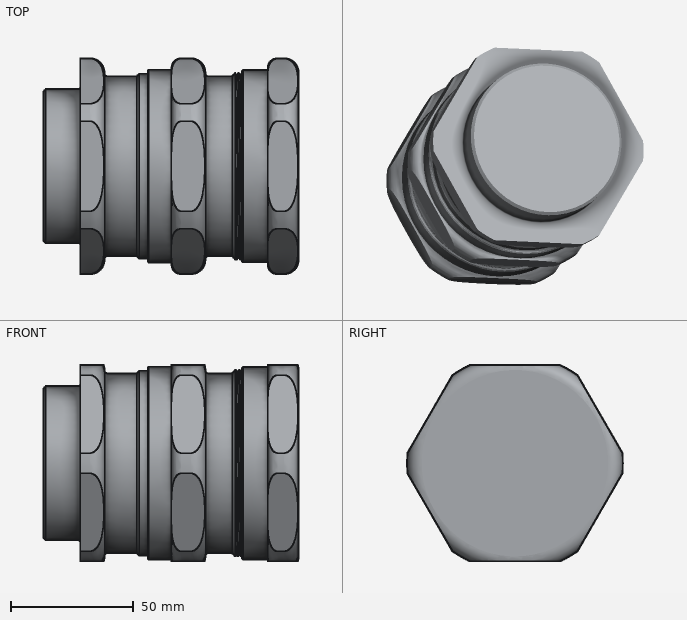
import cadquery as cq
import math


HEX_FLATS = 80.0
HEX_CORNER_DIAMETER = 88.0
HEX_FRONT_ROUND = 4.0
HEX_BACK_ROUND = 6.0

ENTRY_HEX_START = 15.0
ENTRY_HEX_END = 25.0
COLLAR_START = 39.1
NUT_START = 42.5
NUT_HEX_START = 52.2
NUT_HEX_END = 66.1
THREAD_CREST_START = 78.2
DOME_START = 80.9
DOME_HEX_START = 91.4
DOME_END = 104.06

ENTRY_DIAMETER = 63.0
NECK_DIAMETER = 73.3
COLLAR_DIAMETER = 75.42
NUT_DIAMETER = 78.75
DOME_DIAMETER = 78.55
THREAD_DIAMETER = 76.0

ENTRY_CHAMFER = 1.1
ENTRY_ROOT_FILLET = 0.4
NECK_ROOT_FILLET = 1.1
COLLAR_CHAMFER = (COLLAR_DIAMETER - NECK_DIAMETER) / 2
RIM_CHAMFER = 0.5
RIM_LAND = 0.1
NUT_MOUTH_DIAMETER = NUT_DIAMETER - 2 * (RIM_CHAMFER + RIM_LAND)
THREAD_LEAD_IN = 1.3

THREAD_PITCH = 1.5
THREAD_DEPTH = 1.0
THREAD_CREST_FLAT = 0.2
THREAD_RUN_IN = 2.05
GROOVE_OVERSHOOT = 0.2


def cylinder(start, end, diameter):
    """Round bar along X between two stations."""
    return cq.Workplane("YZ").workplane(offset=start).circle(diameter / 2).extrude(end - start)


def cone(start, end, start_diameter, end_diameter):
    """Tapered round stretch along X."""
    profile = [(start, 0), (start, start_diameter / 2), (end, end_diameter / 2), (end, 0)]
    return cq.Workplane("XY").polyline(profile).close().revolve(360, (0, 0, 0), (1, 0, 0))


def rounded_hexagon(start, end, round_front):
    """Hexagon with flats on +Z and -Z, its corners turned down to a barrel with rounded ends."""
    across_corners = HEX_FLATS / math.cos(math.pi / 6)
    prism = cq.Workplane("YZ").workplane(offset=start).polygon(6, across_corners).extrude(end - start)
    barrel = cylinder(start, end, HEX_CORNER_DIAMETER).faces(">X").edges().fillet(HEX_BACK_ROUND)
    if round_front:
        barrel = barrel.faces("<X").edges().fillet(HEX_FRONT_ROUND)
    return prism.intersect(barrel)


def root_fillet(station, diameter, radius, side):
    """Concave ring that blends a round stretch into a face; side is +1 or -1 along X."""
    surface = diameter / 2
    far = station + side * radius
    middle = radius * (1 - math.sqrt(0.5))
    return (
        cq.Workplane("XY")
        .moveTo(station, 0)
        .lineTo(station, surface + radius)
        .threePointArc((station + side * middle, surface + middle), (far, surface))
        .lineTo(far, 0)
        .close()
        .revolve(360, (0, 0, 0), (1, 0, 0))
    )


def thread_groove(start, end):
    """Helical V groove, its profile standing on the +Z side and reaching just past the crests."""
    crest = THREAD_DIAMETER / 2
    root = crest - THREAD_DEPTH
    half_width = (THREAD_PITCH - THREAD_CREST_FLAT) / 2
    outer = crest + GROOVE_OVERSHOOT
    outer_half_width = half_width * (THREAD_DEPTH + GROOVE_OVERSHOOT) / THREAD_DEPTH
    helix = cq.Wire.makeHelix(THREAD_PITCH, end - start, root)
    groove = (
        cq.Workplane("XZ")
        .polyline([(root, 0), (outer, -outer_half_width), (outer, outer_half_width)])
        .close()
        .sweep(cq.Workplane(obj=helix), isFrenet=True)
    )
    upright = groove.rotate((0, 0, 0), (0, 1, 0), 90).rotate((0, 0, 0), (1, 0, 0), 180)
    return upright.translate((start, 0, 0))


def make_entry_body():
    """Entry stub, hexagon, neck and the collar that plugs into the nut."""
    stub = cylinder(0, ENTRY_HEX_START, ENTRY_DIAMETER).faces("<X").chamfer(ENTRY_CHAMFER)
    neck_taper_start = COLLAR_START - COLLAR_CHAMFER
    return (
        stub.union(root_fillet(ENTRY_HEX_START, ENTRY_DIAMETER, ENTRY_ROOT_FILLET, -1))
        .union(rounded_hexagon(ENTRY_HEX_START, ENTRY_HEX_END, False))
        .union(root_fillet(ENTRY_HEX_END, NECK_DIAMETER, NECK_ROOT_FILLET, 1))
        .union(cylinder(ENTRY_HEX_END, neck_taper_start, NECK_DIAMETER))
        .union(cone(neck_taper_start, COLLAR_START, NECK_DIAMETER, COLLAR_DIAMETER))
        .union(cylinder(COLLAR_START, NUT_HEX_START, COLLAR_DIAMETER))
    )


def make_threaded_spigot():
    """Threaded end of the intermediate nut, from its lead-in cone to its tip inside the dome nut."""
    lead_in = cone(THREAD_CREST_START - THREAD_LEAD_IN, THREAD_CREST_START, NECK_DIAMETER, THREAD_DIAMETER)
    blank = cylinder(THREAD_CREST_START, DOME_HEX_START, THREAD_DIAMETER)
    groove = thread_groove(THREAD_CREST_START - THREAD_RUN_IN, DOME_HEX_START + THREAD_PITCH)
    return lead_in.union(blank.cut(groove))


def make_intermediate_nut():
    """Socketed sleeve with a countersunk mouth, hexagon, neck and threaded spigot."""
    sleeve = cylinder(NUT_START, NUT_HEX_START, NUT_DIAMETER).faces("<X").chamfer(RIM_CHAMFER)
    mouth_depth = (NUT_MOUTH_DIAMETER - COLLAR_DIAMETER) / 2
    return (
        sleeve.cut(cylinder(NUT_START, NUT_HEX_START, COLLAR_DIAMETER))
        .cut(cone(NUT_START, NUT_START + mouth_depth, NUT_MOUTH_DIAMETER, COLLAR_DIAMETER))
        .union(rounded_hexagon(NUT_HEX_START, NUT_HEX_END, True))
        .union(root_fillet(NUT_HEX_END, NECK_DIAMETER, NECK_ROOT_FILLET, 1))
        .union(cylinder(NUT_HEX_END, THREAD_CREST_START - THREAD_LEAD_IN, NECK_DIAMETER))
        .union(make_threaded_spigot())
    )


def make_dome_nut():
    """Socketed sleeve closed by the last hexagon."""
    sleeve = cylinder(DOME_START, DOME_HEX_START, DOME_DIAMETER).faces("<X").chamfer(RIM_CHAMFER)
    return sleeve.cut(cylinder(DOME_START, DOME_HEX_START, THREAD_DIAMETER)).union(
        rounded_hexagon(DOME_HEX_START, DOME_END, True)
    )


entry_body = make_entry_body()
intermediate_nut = make_intermediate_nut()
dome_nut = make_dome_nut()

result = cq.Compound.makeCompound(
    [entry_body.solids().val(), intermediate_nut.solids().val(), dome_nut.solids().val()]
)